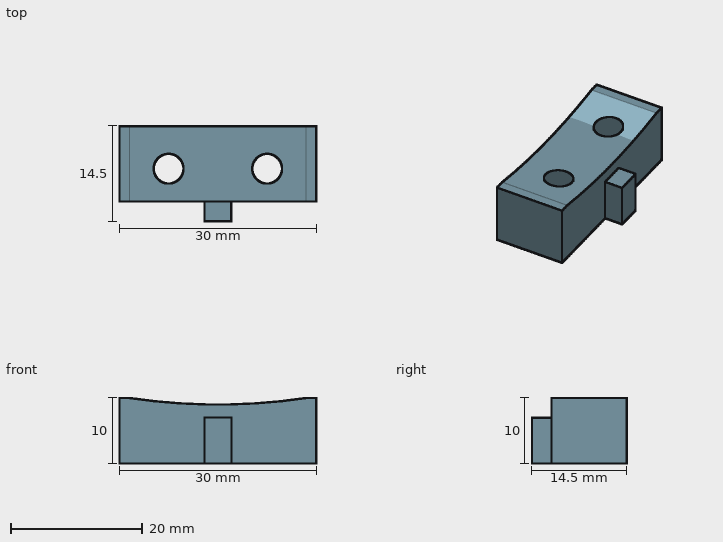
import cadquery as cq

length = 30
depth = 11.5
height = 10.0

saddle_width = 26.85
saddle_sag = 1.0

hole_diameter = 4.5
hole_spacing = length / 2
hole_from_front = 5.0

tab_width = 4.08
tab_projection = 3
tab_height = 7.0


def make_block():
    """Extrude the front profile, with the saddle arc in its top edge."""
    half_length = length / 2
    half_saddle = saddle_width / 2
    return (
        cq.Workplane("XZ")
        .moveTo(-half_length, 0)
        .lineTo(half_length, 0)
        .lineTo(half_length, height)
        .lineTo(half_saddle, height)
        .threePointArc((0, height - saddle_sag), (-half_saddle, height))
        .lineTo(-half_length, height)
        .close()
        .extrude(-depth)
    )


def make_holes():
    """Two vertical cylinders spaced evenly about the middle of the block."""
    return (
        cq.Workplane("XY")
        .pushPoints([(side * hole_spacing / 2, hole_from_front) for side in (-1, 1)])
        .circle(hole_diameter / 2)
        .extrude(height)
    )


def make_tab():
    """Rectangular tab standing out from the front face."""
    return cq.Workplane("XY").box(
        tab_width, tab_projection, tab_height, centered=(True, False, False)
    ).translate((0, -tab_projection, 0))


result = make_block().cut(make_holes()).union(make_tab())